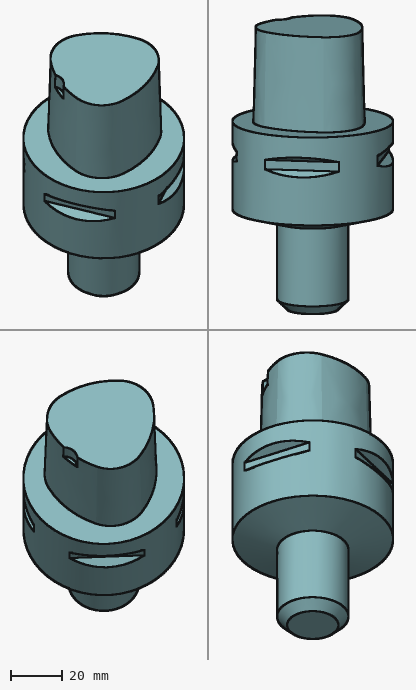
import cadquery as cq
import math

total_height = 113.0
flange_top = 75.1
flange_bottom = 40.0
shank_top = 35.0
tip_chamfer = 4.0

flange_radius = 63.0 / 2
shank_radius = 28.0 / 2

lobe_reach = 23.4
lobe_radius = 14.6
side_reach = 20.3
taper_per_side = 1 / 40

notch_radius = 5.6
notch_floor_y = -17.9
notch_depth = 6.2

groove_count = 4
groove_start_angle = 45
groove_floor_distance = 27.9
groove_floor_height = 3.7
groove_mid_height = 63.0
groove_wall_angle = 30


def polar_point(radius, degrees):
    angle = math.radians(degrees)
    return (radius * math.cos(angle), radius * math.sin(angle))


def make_round_body():
    """Revolve the flange, its conical underside and the chamfered shank."""
    profile = [
        (0, 0),
        (shank_radius - tip_chamfer, 0),
        (shank_radius, tip_chamfer),
        (shank_radius, shank_top),
        (flange_radius, flange_bottom),
        (flange_radius, flange_top),
        (0, flange_top),
    ]
    return cq.Workplane("XZ").polyline(profile).close().revolve(360, (0, 0), (0, 1))


def make_polygon_taper():
    """Lobe arcs joined tangentially by three flatter side arcs, drafted inward."""
    lobe_center = lobe_reach - lobe_radius
    gap = side_reach - lobe_radius
    side_center = (lobe_center**2 - gap**2) / (2 * gap - lobe_center)
    side_radius = side_reach + side_center

    half_sweep = math.degrees(
        math.asin(side_center * math.sin(math.radians(120)) / (side_radius - lobe_radius))
    )

    def lobe_point(direction, offset):
        center = polar_point(lobe_center, direction)
        edge = polar_point(lobe_radius, direction + offset)
        return (center[0] + edge[0], center[1] + edge[1])

    outline = cq.Workplane("XY").workplane(offset=flange_top).moveTo(*lobe_point(90, -half_sweep))
    for direction in (90, 210, 330):
        outline = outline.threePointArc(lobe_point(direction, 0), lobe_point(direction, half_sweep))
        side_middle = polar_point(side_reach, direction + 60)
        outline = outline.threePointArc(side_middle, lobe_point(direction + 120, -half_sweep))
    draft = math.degrees(math.atan(taper_per_side))
    return outline.close().extrude(total_height - flange_top, taper=draft)


def make_notch():
    return (
        cq.Workplane("XY")
        .workplane(offset=total_height - notch_depth)
        .center(0, notch_floor_y - notch_radius)
        .circle(notch_radius)
        .extrude(notch_depth)
    )


def make_groove(direction):
    """Straight groove across the flange with walls that flare outward."""
    half_floor = groove_floor_height / 2
    depth = flange_radius - groove_floor_distance
    half_mouth = half_floor + depth * math.tan(math.radians(groove_wall_angle))
    section = [
        (groove_floor_distance, groove_mid_height - half_floor),
        (flange_radius, groove_mid_height - half_mouth),
        (flange_radius, groove_mid_height + half_mouth),
        (groove_floor_distance, groove_mid_height + half_floor),
    ]
    groove = cq.Workplane("XZ").polyline(section).close().extrude(flange_radius, both=True)
    return groove.rotate((0, 0, 0), (0, 0, 1), direction)


result = make_round_body().union(make_polygon_taper()).cut(make_notch())
for index in range(groove_count):
    result = result.cut(make_groove(groove_start_angle + index * 360 / groove_count))